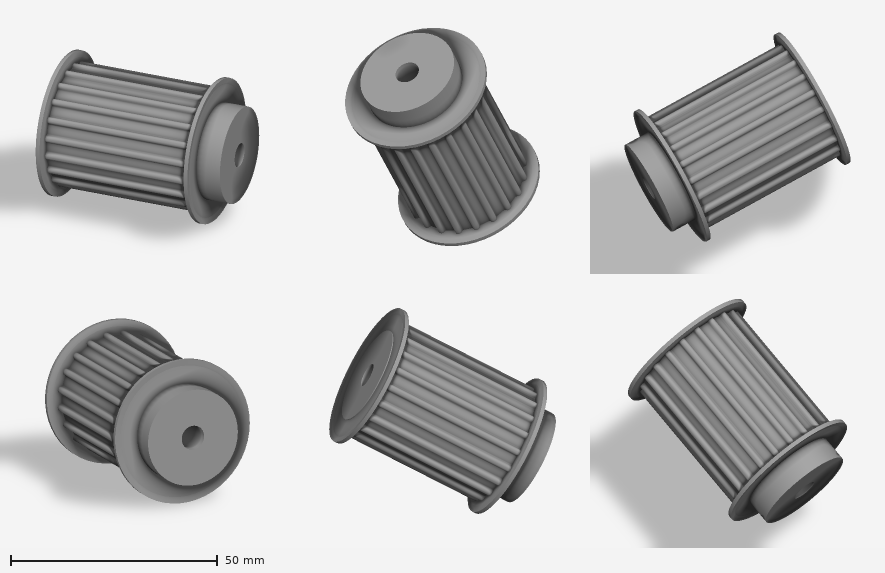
import cadquery as cq
import math


total_length = 46.0
hub_length = 6.0
flange_thickness = 1.0
flange_dish = 0.25

flange_diameter = 36.0
flange_bend_radius = 16.45
hub_diameter = 24.0
bore_diameter = 6.0

tooth_count = 20
tip_radius = 15.35
root_radius = 14.25
tooth_half_width = 0.65
flank_angle = math.radians(15.3)
root_fillet = 0.35
tip_fillet = 0.75

flange_radius = flange_diameter / 2
hub_start = total_length - hub_length
toothed_start = flange_dish + flange_thickness
toothed_end = hub_start - toothed_start
pitch_angle = 2 * math.pi / tooth_count


def turn(point, angle):
    """Rotate a point about the pulley axis."""
    across, outward = point
    return (
        across * math.cos(angle) + outward * math.sin(angle),
        outward * math.cos(angle) - across * math.sin(angle),
    )


def mirror(point):
    """Reflect a point in the centre line of its tooth."""
    return (-point[0], point[1])


def at_radius(direction, radius):
    """Point at the given radius, on the ray from the axis through direction."""
    length = math.hypot(*direction)
    return (direction[0] / length * radius, direction[1] / length * radius)


def flank_fillet(centre_radius, circle_radius, fillet, side):
    """Points of the fillet joining the flank to a circle about the axis.

    side is +1 for a fillet centre outside the tooth and -1 for one inside it.
    Returns the tangent point on the circle, a point inside the arc and the tangent point on the flank.
    """
    normal = (math.cos(flank_angle), math.sin(flank_angle))
    along = (-math.sin(flank_angle), math.cos(flank_angle))
    flank_distance = tooth_half_width * normal[0] + tip_radius * normal[1]
    centre_distance = flank_distance + side * fillet
    run = math.sqrt(centre_radius**2 - centre_distance**2)
    centre = (
        centre_distance * normal[0] + run * along[0],
        centre_distance * normal[1] + run * along[1],
    )
    on_circle = at_radius(centre, circle_radius)
    on_flank = (centre[0] - side * fillet * normal[0], centre[1] - side * fillet * normal[1])
    chord_middle = ((on_circle[0] + on_flank[0]) / 2, (on_circle[1] + on_flank[1]) / 2)
    bulge = at_radius((chord_middle[0] - centre[0], chord_middle[1] - centre[1]), fillet)
    return on_circle, (centre[0] + bulge[0], centre[1] + bulge[1]), on_flank


def toothed_body():
    """Toothed barrel between the flanges; each tooth sits half a pitch off the Y and Z axes."""
    root_end, root_middle, flank_bottom = flank_fillet(
        root_radius + root_fillet, root_radius, root_fillet, 1
    )
    tip_end, tip_middle, flank_top = flank_fillet(tip_radius - tip_fillet, tip_radius, tip_fillet, -1)
    first_angle = pitch_angle / 2

    outline = cq.Workplane("YZ").workplane(offset=toothed_start)
    outline = outline.moveTo(*turn(mirror(root_end), first_angle))
    for index in range(tooth_count):
        angle = first_angle + index * pitch_angle
        next_root = turn(mirror(root_end), angle + pitch_angle)
        groove_middle = turn((0, root_radius), angle + pitch_angle / 2)
        outline = (
            outline.threePointArc(turn(mirror(root_middle), angle), turn(mirror(flank_bottom), angle))
            .lineTo(*turn(mirror(flank_top), angle))
            .threePointArc(turn(mirror(tip_middle), angle), turn(mirror(tip_end), angle))
            .threePointArc(turn((0, tip_radius), angle), turn(tip_end, angle))
            .threePointArc(turn(tip_middle, angle), turn(flank_top, angle))
            .lineTo(*turn(flank_bottom, angle))
            .threePointArc(turn(root_middle, angle), turn(root_end, angle))
            .threePointArc(groove_middle, next_root)
        )
    return outline.close().extrude(toothed_end - toothed_start)


def flange(rim_face, inward):
    """Dished flange with its outer rim edge at X = rim_face; inward (+1 or -1) points to the teeth."""
    flat_face = rim_face + inward * flange_dish
    thickness = inward * flange_thickness
    section = [
        (flat_face, 0),
        (flat_face, flange_bend_radius),
        (rim_face, flange_radius),
        (rim_face + thickness, flange_radius),
        (flat_face + thickness, flange_bend_radius),
        (flat_face + thickness, 0),
    ]
    return cq.Workplane("XY").polyline(section).close().revolve(360, (0, 0, 0), (1, 0, 0))


def cylinder(diameter):
    """Full-length cylinder on the pulley axis."""
    return cq.Workplane("YZ").circle(diameter / 2).extrude(total_length)


result = (
    toothed_body()
    .union(flange(0, 1))
    .union(flange(hub_start, -1))
    .union(cylinder(hub_diameter))
    .cut(cylinder(bore_diameter))
)